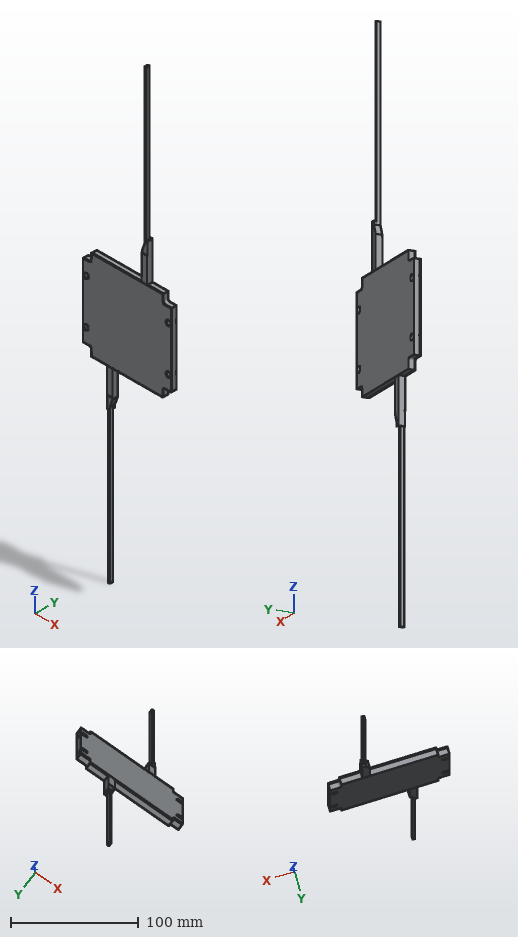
import cadquery as cq

panel_side = 98.0
panel_depth = 6.0
cover_depth = 1.0
notch_side = 9.0
notch_fillet = 2.0
hole_diameter = 5.5
hole_edge_distance = 3.0
hole_height = 24.5

overall_length = 509.5
sleeve_inner_x = 16.5
sleeve_outer_x = 22.5
taper_start_z = 78.5
taper_end_z = 87.0
sleeve_end_z = 90.0
tip_start_z = 77.0
tip_recess = 0.25
strip_width = 2.0
strip_depth = 3.5
strip_inner_x = 19.5

half_side = panel_side / 2
front_y = -panel_depth / 2
back_y = panel_depth / 2
cover_back_y = front_y + cover_depth


def box_between(x_range, y_range, z_range):
    """Box spanning the given (low, high) ranges."""
    sizes = [high - low for low, high in (x_range, y_range, z_range)]
    corner = (x_range[0], y_range[0], z_range[0])
    return cq.Workplane("XY").box(*sizes, centered=False).translate(corner)


def make_panel_layer(y_low, y_high):
    """Square layer with filleted corner notches and four through holes."""
    cross_arm = half_side - notch_side
    depth = (y_low, y_high)
    tall = box_between((-cross_arm, cross_arm), depth, (-half_side, half_side))
    wide = box_between((-half_side, half_side), depth, (-cross_arm, cross_arm))
    layer = tall.union(wide)
    for x in (-cross_arm, cross_arm):
        for z in (-cross_arm, cross_arm):
            inner_corner = cq.selectors.NearestToPointSelector((x, (y_low + y_high) / 2, z))
            layer = layer.edges("|Y").edges(inner_corner).fillet(notch_fillet)
    hole_x = half_side - hole_edge_distance
    hole_places = [(x, z) for x in (-hole_x, hole_x) for z in (-hole_height, hole_height)]
    holes = (
        cq.Workplane("XZ", origin=(0, y_high, 0))
        .pushPoints(hole_places)
        .circle(hole_diameter / 2)
        .extrude(y_high - y_low)
    )
    return layer.cut(holes)


def make_lead(turn):
    """Lead standing on the top edge of the panel, turned about Y by the given angle."""
    sleeve = (
        cq.Workplane("XZ", origin=(0, back_y, 0))
        .moveTo(sleeve_inner_x, half_side)
        .lineTo(sleeve_outer_x, half_side)
        .lineTo(sleeve_outer_x, sleeve_end_z)
        .lineTo(strip_inner_x, sleeve_end_z)
        .lineTo(strip_inner_x, taper_end_z)
        .lineTo(sleeve_inner_x, taper_start_z)
        .close()
        .extrude(panel_depth)
    )
    tip_front_y = front_y + tip_recess
    recess = box_between(
        (sleeve_inner_x, sleeve_outer_x), (front_y, tip_front_y), (tip_start_z, sleeve_end_z)
    )
    strip = box_between(
        (strip_inner_x, strip_inner_x + strip_width),
        (tip_front_y, tip_front_y + strip_depth),
        (sleeve_end_z, overall_length / 2),
    )
    lead = sleeve.cut(recess).union(strip)
    return lead.rotate((0, 0, 0), (0, 1, 0), turn)


base = make_panel_layer(cover_back_y, back_y)
cover = make_panel_layer(front_y, cover_back_y)
leads = [make_lead(turn) for turn in (0, 180)]

result = cq.Compound.makeCompound([base.val(), cover.val(), *[lead.val() for lead in leads]])